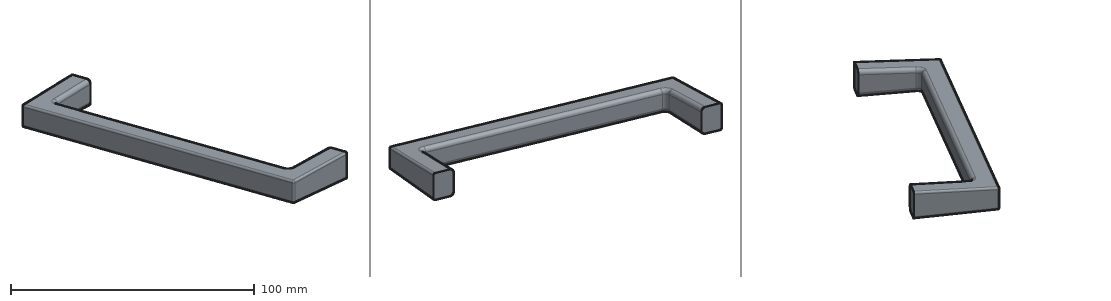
import cadquery as cq

length = 140.0
depth = 36.0
height = 12.0

taper = 1.0
leg_width = 10.0
bar_depth = 10.1
inner_corner_radius = 2.0

outer_edge_radius = 1.0
inner_edge_radius = 2.0

front = -depth / 2
back = depth / 2
bar_back = front + bar_depth
half_length = length / 2
half_height = height / 2
leg_inner_back = half_length - leg_width
leg_inner_front = leg_inner_back - taper * (back - bar_back) / depth
pick_margin = 0.1


def handle_outline():
    """U-shaped block whose legs lean inward towards the front."""
    right_side = [
        (half_length - taper, front),
        (half_length, back),
        (leg_inner_back, back),
        (leg_inner_front, bar_back),
    ]
    left_side = [(-x, y) for x, y in reversed(right_side)]
    return (
        cq.Workplane("XY")
        .polyline(right_side + left_side)
        .close()
        .extrude(half_height, both=True)
    )


def height_wedge():
    """Wedge that thins the handle towards the front."""
    return (
        cq.Workplane("YZ")
        .polyline([
            (front, half_height - taper),
            (back, half_height),
            (back, -half_height),
            (front, taper - half_height),
        ])
        .close()
        .extrude(half_length, both=True)
    )


def edges_in_box(body, x_half, y_start, y_end):
    """Edges of the body centred within a box around the YZ plane."""
    box = cq.selectors.BoxSelector((-x_half, y_start, -height), (x_half, y_end, height))
    return body.edges(box)


handle = handle_outline().intersect(height_wedge())

opening = (leg_inner_back + pick_margin, bar_back - pick_margin, back - pick_margin)
handle = edges_in_box(handle, *opening).edges("|Z").fillet(inner_corner_radius)
handle = edges_in_box(handle, *opening).edges("not |Z").fillet(inner_edge_radius)

front_edges = handle.faces("<Y").edges()
side_rims = handle.faces("<X or >X").edges("not |Z")
result = front_edges.add(side_rims).fillet(outer_edge_radius)